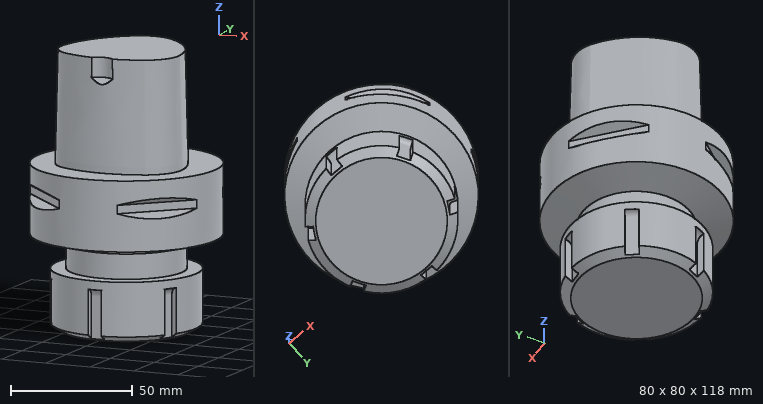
import cadquery as cq
import math

nut_chamfer_top = 2.7
nut_top = 25.7
neck_top = 36.3
flange_bottom = 40.1
flange_top = 70.0
taper_start = 73.0
shank_top = 118.0

nose_radius = 27.1
nut_radius = 63.0 / 2
neck_radius = 50.0 / 2
flange_radius = 80.0 / 2

lobe_reach = 29.5
flank_reach = 25.4
lobe_radius = 16.3
shank_taper = math.degrees(math.atan(1 / 40))
lobe_count = 3

slot_count = 6
slot_width = 5.9
slot_floor = 28.2
slot_top = 22.0
slot_end_radius = nut_radius - slot_floor

groove_count = 4
groove_floor = 36.0
groove_mid_height = 57.9
groove_floor_half_width = 1.8
groove_mouth_half_width = 4.2

notch_radius = 6.3
notch_back = 22.0
notch_straight_end = 109.6

cut_margin = 1.2


def polar(radius, degrees):
    angle = math.radians(degrees)
    return (radius * math.cos(angle), radius * math.sin(angle))


def around_axis(cutter, count, first_angle):
    """Copies of a cutter, made on the +X side, evenly spaced about Z."""
    copies = cq.Workplane("XY")
    for index in range(count):
        angle = first_angle + index * 360 / count
        copies = copies.add(cutter.rotate((0, 0, 0), (0, 0, 1), angle))
    return copies.combine()


def make_turned_body():
    profile = [
        (0, 0),
        (nose_radius, 0),
        (nut_radius, nut_chamfer_top),
        (nut_radius, nut_top),
        (neck_radius, nut_top),
        (neck_radius, neck_top),
        (flange_radius, flange_bottom),
        (flange_radius, flange_top),
        (0, flange_top),
    ]
    return cq.Workplane("XZ").polyline(profile).close().revolve(360, (0, 0), (0, 1))


def shank_outline(height):
    """Lobe arcs joined by tangent flank arcs; one lobe points to +Y."""
    lobe_center = lobe_reach - lobe_radius
    inset = flank_reach - lobe_radius
    flank_center = (lobe_center**2 - inset**2) / (2 * inset - lobe_center)

    center_x, center_y = polar(flank_center, -120)
    normal = math.atan2(-center_y, lobe_center - center_x)
    joint_x = lobe_center + lobe_radius * math.cos(normal)
    joint_y = lobe_radius * math.sin(normal)
    joint_reach = math.hypot(joint_x, joint_y)
    joint_angle = math.degrees(math.atan2(joint_y, joint_x))

    lobe_step = 360 / lobe_count
    outline = cq.Workplane("XY").workplane(offset=height)
    outline = outline.moveTo(*polar(joint_reach, 90 - joint_angle))
    for index in range(lobe_count):
        lobe = 90 + index * lobe_step
        lobe_end = polar(joint_reach, lobe + joint_angle)
        next_lobe_start = polar(joint_reach, lobe + lobe_step - joint_angle)
        outline = outline.threePointArc(polar(lobe_reach, lobe), lobe_end)
        outline = outline.threePointArc(polar(flank_reach, lobe + lobe_step / 2), next_lobe_start)
    return outline.close()


def make_shank():
    base = shank_outline(flange_top).extrude(taper_start - flange_top)
    taper = shank_outline(taper_start).extrude(shank_top - taper_start, taper=shank_taper)
    return base.union(taper)


def make_nut_slots():
    outside = nut_radius + cut_margin
    arc_offset = slot_end_radius * (1 - math.sqrt(0.5))
    cutter = (
        cq.Workplane("XZ")
        .moveTo(outside, -cut_margin)
        .lineTo(slot_floor, -cut_margin)
        .lineTo(slot_floor, slot_top - slot_end_radius)
        .threePointArc(
            (slot_floor + arc_offset, slot_top - arc_offset),
            (slot_floor + slot_end_radius, slot_top),
        )
        .lineTo(outside, slot_top)
        .close()
        .extrude(slot_width / 2, both=True)
    )
    return around_axis(cutter, slot_count, 30)


def make_flange_grooves():
    profile = [
        (groove_floor, groove_mid_height - groove_floor_half_width),
        (flange_radius, groove_mid_height - groove_mouth_half_width),
        (flange_radius, groove_mid_height + groove_mouth_half_width),
        (groove_floor, groove_mid_height + groove_floor_half_width),
    ]
    cutter = cq.Workplane("XZ").polyline(profile).close().extrude(flange_radius, both=True)
    return around_axis(cutter, groove_count, 45)


def make_notch():
    """Round cutter with a 90 degree point, parallel to the axis on the -Y side."""
    profile = [
        (0, notch_straight_end - notch_radius),
        (notch_radius, notch_straight_end),
        (notch_radius, shank_top + cut_margin),
        (0, shank_top + cut_margin),
    ]
    cutter = cq.Workplane("XZ").polyline(profile).close().revolve(360, (0, 0), (0, 1))
    return cutter.translate((0, -(notch_back + notch_radius), 0))


result = (
    make_turned_body()
    .union(make_shank())
    .cut(make_nut_slots())
    .cut(make_flange_grooves())
    .cut(make_notch())
)